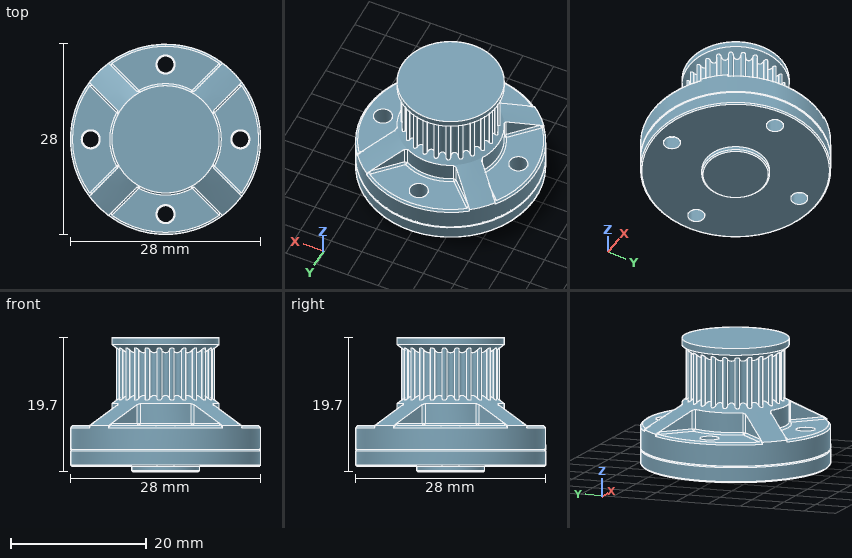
import cadquery as cq
import math

FLANGE_DIAMETER = 28.0
SPIGOT_DIAMETER = 10.0
SPIGOT_HEIGHT = 0.8
PLATE_THICKNESS = 2.5
PLATE_CHAMFER = 0.2
SPIGOT_CHAMFER = 0.2

PULLEY_FLANGE_THICKNESS = 3.5
HUB_DIAMETER = 15.8
HUB_HEIGHT = 3.25
RIB_COUNT = 4
RIB_WIDTH = 4.0
POCKET_CHAMFER = 0.3

TOOTHED_LENGTH = 8.68
END_DISC_THICKNESS = 1.0
TOOTH_COUNT = 24
TOOTH_TIP_DIAMETER = 14.55
GROOVE_DEPTH = 0.87
GROOVE_WIDTH = 1.12
SIDE_CONE_ANGLE = 39.0

BOLT_CIRCLE_DIAMETER = 22.0
PULLEY_HOLE_DIAMETER = 2.8
PLATE_HOLE_DIAMETER = 2.5

PLATE_TOP_Z = SPIGOT_HEIGHT + PLATE_THICKNESS
POCKET_FLOOR_Z = PLATE_TOP_Z + PULLEY_FLANGE_THICKNESS
HUB_TOP_Z = POCKET_FLOOR_Z + HUB_HEIGHT
END_DISC_Z = HUB_TOP_Z + TOOTHED_LENGTH
TOP_Z = END_DISC_Z + END_DISC_THICKNESS
FLANGE_RADIUS = FLANGE_DIAMETER / 2
HUB_RADIUS = HUB_DIAMETER / 2
TOOTH_TIP_RADIUS = TOOTH_TIP_DIAMETER / 2
GROOVE_ROOT_RADIUS = TOOTH_TIP_RADIUS - GROOVE_DEPTH
SIDE_CONE_HEIGHT = (HUB_RADIUS - GROOVE_ROOT_RADIUS) * math.tan(math.radians(SIDE_CONE_ANGLE))
CUT_CLEARANCE = 1.4


def revolve_profile(points):
    """Turn a closed (radius, z) outline about the Z axis."""
    return cq.Workplane("XZ").polyline(points).close().revolve(360, (0, 0, 0), (0, 1, 0))


def bolt_holes(diameter, bottom_z, depth):
    """Cutting cylinders for the bolt holes on the X and Y axes."""
    return (
        cq.Workplane("XY", origin=(0, 0, bottom_z))
        .polarArray(BOLT_CIRCLE_DIAMETER / 2, 0, 360, RIB_COUNT)
        .circle(diameter / 2)
        .extrude(depth)
    )


def make_base_plate():
    plate = (
        cq.Workplane("XY", origin=(0, 0, SPIGOT_HEIGHT))
        .circle(FLANGE_RADIUS)
        .extrude(PLATE_THICKNESS)
        .edges()
        .chamfer(PLATE_CHAMFER)
    )
    spigot = (
        cq.Workplane("XY")
        .circle(SPIGOT_DIAMETER / 2)
        .extrude(SPIGOT_HEIGHT)
        .faces("<Z")
        .edges()
        .chamfer(SPIGOT_CHAMFER)
    )
    holes = bolt_holes(PLATE_HOLE_DIAMETER, SPIGOT_HEIGHT, PLATE_THICKNESS)
    return plate.union(spigot).cut(holes)


def make_pocket_sector(bottom_z):
    """Quarter wedge centred on +X, from bottom_z up, sided by the facing sides of two ribs."""
    tip_x = RIB_WIDTH / math.sqrt(2)
    reach = FLANGE_RADIUS + CUT_CLEARANCE
    outline = [(tip_x, 0), (tip_x + reach, reach), (tip_x + reach, -reach)]
    return (
        cq.Workplane("XY", origin=(0, 0, bottom_z))
        .polyline(outline)
        .close()
        .extrude(HUB_TOP_Z + CUT_CLEARANCE - bottom_z)
    )


def make_pocket_cutter():
    """Space between two ribs, with bevelled inner corners, bevelled floor edges and a bevelled rim."""
    height = HUB_TOP_Z + CUT_CLEARANCE - POCKET_FLOOR_Z
    hub = cq.Workplane("XY", origin=(0, 0, POCKET_FLOOR_Z)).circle(HUB_RADIUS).extrude(height)
    pocket = make_pocket_sector(POCKET_FLOOR_Z).cut(hub)
    inner_walls = cq.selectors.BoxSelector(
        (0, -FLANGE_RADIUS, POCKET_FLOOR_Z - CUT_CLEARANCE),
        (FLANGE_RADIUS, FLANGE_RADIUS, HUB_TOP_Z + CUT_CLEARANCE - POCKET_CHAMFER),
    )
    pocket = pocket.edges(inner_walls).chamfer(POCKET_CHAMFER)
    rim_bevel = revolve_profile(
        [
            (FLANGE_RADIUS, POCKET_FLOOR_Z - POCKET_CHAMFER),
            (FLANGE_RADIUS + CUT_CLEARANCE, POCKET_FLOOR_Z - POCKET_CHAMFER),
            (FLANGE_RADIUS + CUT_CLEARANCE, POCKET_FLOOR_Z + POCKET_CHAMFER),
            (FLANGE_RADIUS - 2 * POCKET_CHAMFER, POCKET_FLOOR_Z + POCKET_CHAMFER),
        ]
    )
    return pocket.union(rim_bevel.intersect(make_pocket_sector(PLATE_TOP_Z)))


def make_ribbed_flange():
    """Flange and hub joined by a cone, which the pockets cut into ribs."""
    blank = revolve_profile(
        [
            (0, PLATE_TOP_Z),
            (FLANGE_RADIUS, PLATE_TOP_Z),
            (FLANGE_RADIUS, POCKET_FLOOR_Z),
            (HUB_RADIUS, HUB_TOP_Z),
            (0, HUB_TOP_Z),
        ]
    )
    pocket = make_pocket_cutter()
    for index in range(RIB_COUNT):
        blank = blank.cut(pocket.rotate((0, 0, 0), (0, 0, 1), index * 360 / RIB_COUNT))
    return blank.cut(bolt_holes(PULLEY_HOLE_DIAMETER, PLATE_TOP_Z, PULLEY_FLANGE_THICKNESS))


def polar_point(radius, angle):
    """Point in the XY plane at an angle given in degrees."""
    return (radius * math.cos(math.radians(angle)), radius * math.sin(math.radians(angle)))


def make_drum():
    """Drum whose outline alternates round-bottomed belt grooves and full-round teeth."""
    pitch_angle = 360 / TOOTH_COUNT
    half_width = GROOVE_WIDTH / 2
    root_arc_x = GROOVE_ROOT_RADIUS + half_width
    root_arc_radius = math.hypot(root_arc_x, half_width)
    root_arc_angle = math.degrees(math.atan2(half_width, root_arc_x))

    half_pitch_sine = math.sin(math.radians(pitch_angle / 2))
    tip_rounding = (TOOTH_TIP_RADIUS * half_pitch_sine - half_width) / (1 + half_pitch_sine)
    flank_end_x = (TOOTH_TIP_RADIUS - tip_rounding) * math.cos(math.radians(pitch_angle / 2))
    flank_end_radius = math.hypot(flank_end_x, half_width)
    flank_end_angle = math.degrees(math.atan2(half_width, flank_end_x))

    start_point = polar_point(flank_end_radius, -flank_end_angle)
    outline = cq.Workplane("XY", origin=(0, 0, HUB_TOP_Z)).moveTo(*start_point)
    for index in range(TOOTH_COUNT):
        groove_angle = index * pitch_angle
        tooth_angle = groove_angle + pitch_angle / 2
        next_flank_angle = groove_angle + pitch_angle - flank_end_angle
        outline = (
            outline.lineTo(*polar_point(root_arc_radius, groove_angle - root_arc_angle))
            .threePointArc(
                polar_point(GROOVE_ROOT_RADIUS, groove_angle),
                polar_point(root_arc_radius, groove_angle + root_arc_angle),
            )
            .lineTo(*polar_point(flank_end_radius, groove_angle + flank_end_angle))
            .threePointArc(
                polar_point(TOOTH_TIP_RADIUS, tooth_angle),
                polar_point(flank_end_radius, next_flank_angle),
            )
        )
    return outline.close().extrude(TOOTHED_LENGTH)


def make_toothed_section():
    """Toothed drum between two side cones, closed by the end disc."""
    sides = revolve_profile(
        [
            (0, HUB_TOP_Z),
            (HUB_RADIUS, HUB_TOP_Z),
            (GROOVE_ROOT_RADIUS, HUB_TOP_Z + SIDE_CONE_HEIGHT),
            (GROOVE_ROOT_RADIUS, END_DISC_Z - SIDE_CONE_HEIGHT),
            (HUB_RADIUS, END_DISC_Z),
            (HUB_RADIUS, TOP_Z),
            (0, TOP_Z),
        ]
    )
    return make_drum().union(sides)


def make_pulley():
    return make_ribbed_flange().union(make_toothed_section())


base_plate = make_base_plate()
pulley = make_pulley()
result = cq.Compound.makeCompound([base_plate.val(), pulley.val()])